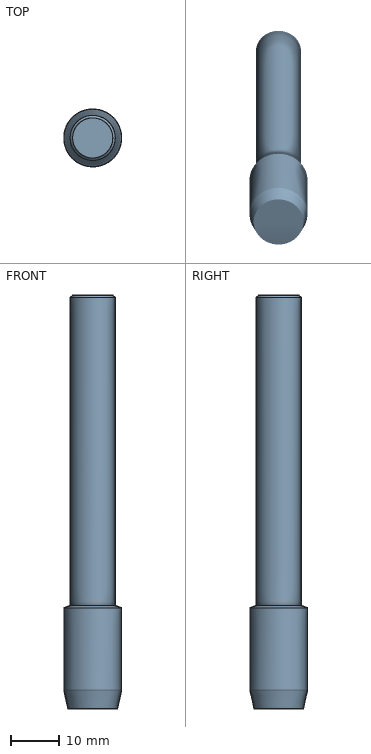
import cadquery as cq

total_length = 85.7
sleeve_diameter = 12.0
sleeve_length = 21.4
rod_diameter = 9.3

rod_chamfer = 0.5
sleeve_top_slope_height = 0.5
taper_length = 3.85
taper_inset = 0.85

sleeve_radius = sleeve_diameter / 2
rod_radius = rod_diameter / 2


def make_rod():
    """Straight round rod, chamfered at its upper end, running through the sleeve."""
    return cq.Workplane("XY").circle(rod_radius).extrude(total_length).faces(">Z").chamfer(rod_chamfer)


def make_sleeve():
    """Sleeve around the lower end of the rod, tapered at the bottom with a shallow cone on top."""
    profile = [
        (rod_radius, 0),
        (sleeve_radius - taper_inset, 0),
        (sleeve_radius, taper_length),
        (sleeve_radius, sleeve_length - sleeve_top_slope_height),
        (rod_radius, sleeve_length),
    ]
    return cq.Workplane("XZ").polyline(profile).close().revolve(360, (0, 0, 0), (0, 1, 0))


rod = make_rod()
sleeve = make_sleeve()

result = cq.Compound.makeCompound([rod.val(), sleeve.val()])